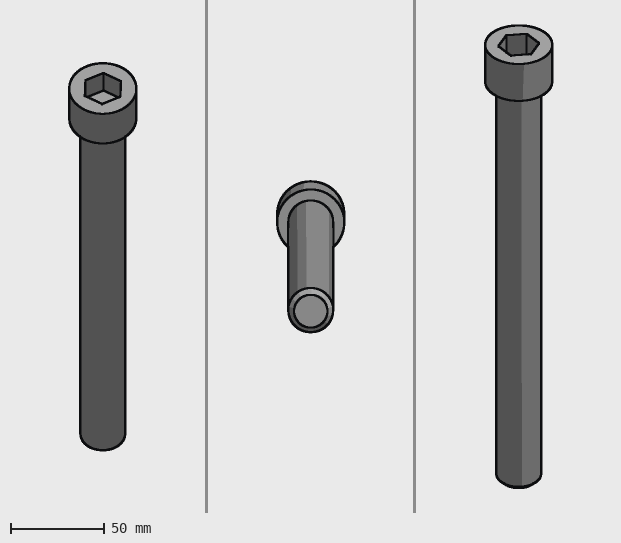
import cadquery as cq
import math

total_length = 284.0
head_diameter = 36.0
shank_diameter = 24.0
head_height = shank_diameter
tip_chamfer = 3.0
socket_across_flats = 19.0
socket_depth = 14.2

shank_length = total_length - head_height
socket_across_corners = socket_across_flats / math.cos(math.pi / 6)

shank = (
    cq.Workplane("XY")
    .circle(shank_diameter / 2)
    .extrude(shank_length)
    .faces("<Z")
    .chamfer(tip_chamfer)
)

head = (
    cq.Workplane("XY")
    .workplane(offset=shank_length)
    .circle(head_diameter / 2)
    .extrude(head_height)
)

socket = (
    cq.Workplane("XY")
    .workplane(offset=total_length - socket_depth)
    .polygon(6, socket_across_corners)
    .extrude(socket_depth)
)

result = shank.union(head).cut(socket)